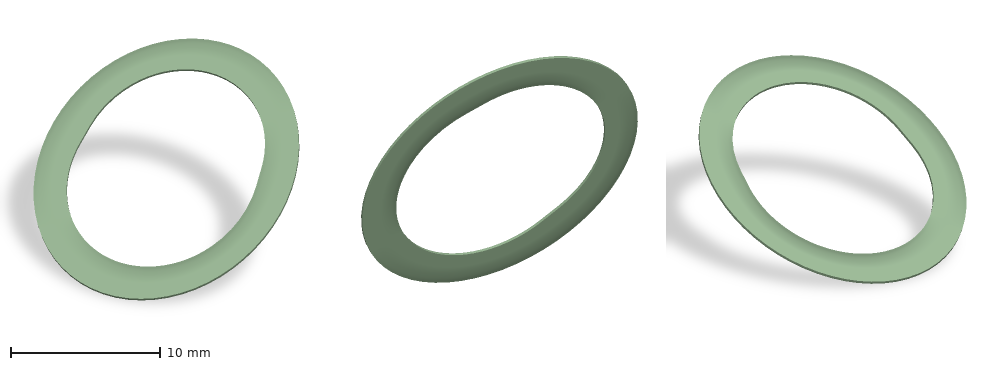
import cadquery as cq
import math

tilt_angle = 25.0
thickness = 0.2
outer_width = 17.65
outer_length = 20.55

upper_radius = 6.3
upper_center = 0.8
lower_radius = 6.47
lower_center = -0.52

stretch = 1 / math.cos(math.radians(tilt_angle))
cutter_height = 3 * thickness


def elliptical_plate(half_width, half_length, center_y, height):
    """Elliptical disc centred on the plane of the ring."""
    return (
        cq.Workplane("XY", origin=(0, 0, -height / 2))
        .center(0, center_y)
        .ellipse(half_width, half_length)
        .extrude(height)
    )


def stretched_circle(radius, center_y):
    """Cutter for one rounded end of the opening."""
    return elliptical_plate(radius, radius * stretch, center_y * stretch, cutter_height)


def tangent_bridge():
    """Cutter with the straight sides tangent to both rounded ends."""
    taper_sine = (lower_radius - upper_radius) / (upper_center - lower_center)
    taper_cosine = math.sqrt(1 - taper_sine**2)
    upper_x = upper_radius * taper_cosine
    upper_y = (upper_center + upper_radius * taper_sine) * stretch
    lower_x = lower_radius * taper_cosine
    lower_y = (lower_center + lower_radius * taper_sine) * stretch
    corners = [(-lower_x, lower_y), (lower_x, lower_y), (upper_x, upper_y), (-upper_x, upper_y)]
    base = cq.Workplane("XY", origin=(0, 0, -cutter_height / 2))
    return base.polyline(corners).close().extrude(cutter_height)


ring = elliptical_plate(outer_width / 2, outer_length / 2, 0, thickness)
ring = ring.cut(stretched_circle(upper_radius, upper_center))
ring = ring.cut(stretched_circle(lower_radius, lower_center))
ring = ring.cut(tangent_bridge())

result = ring.rotate((0, 0, 0), (1, 0, 0), tilt_angle)